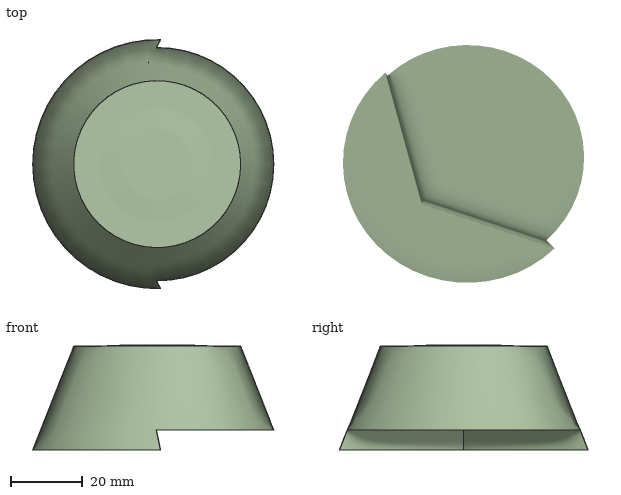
import cadquery as cq
import math

base_radius = 34.7
top_radius = 23.25
body_height = 29.0

crown_base_radius = 15.8
crown_top_radius = 9.8
crown_height = 0.24
total_height = body_height + crown_height

step_height = 5.55
step_wall_end_x = 1.0
step_wall_angle = 28.0
step_apex_x = step_wall_end_x - base_radius * math.tan(math.radians(step_wall_angle))


def make_body():
    """Revolve the profile of the cone and its crown."""
    profile = (
        cq.Workplane("XZ")
        .moveTo(0, 0)
        .lineTo(base_radius, 0)
        .lineTo(top_radius, body_height)
        .lineTo(crown_base_radius, body_height)
        .lineTo(crown_top_radius, total_height)
        .lineTo(0, total_height)
        .close()
    )
    return profile.revolve(360, (0, 0, 0), (0, 1, 0))


def make_step_cutter():
    """Plate with a V-shaped edge that undercuts the +X side."""
    return (
        cq.Workplane("XY")
        .moveTo(step_apex_x, 0)
        .lineTo(step_wall_end_x, base_radius)
        .lineTo(base_radius, base_radius)
        .lineTo(base_radius, -base_radius)
        .lineTo(step_wall_end_x, -base_radius)
        .close()
        .extrude(step_height)
    )


result = make_body().cut(make_step_cutter())